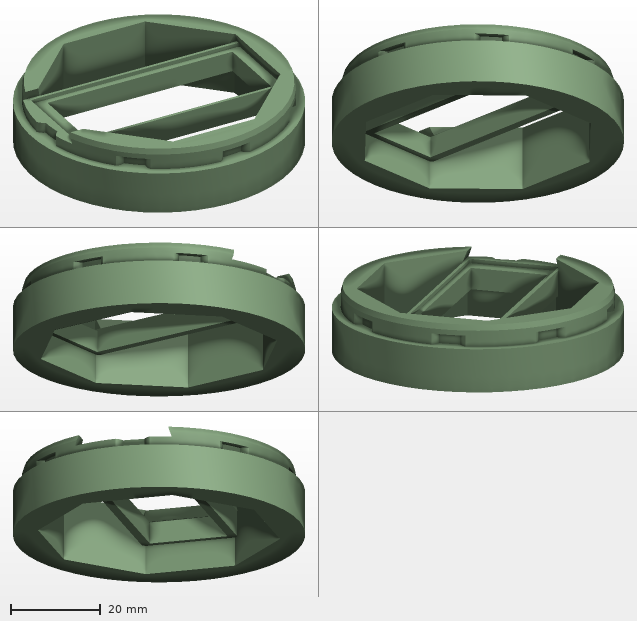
import cadquery as cq
import math

base_diameter = 65.0
base_height = 10.0
total_height = 15.0
collar_radius = 30.5
collar_top_radius = 30.1
collar_bevel_height = 1.3

octagon_across_flats = 50.0
octagon_diameter = octagon_across_flats / math.cos(math.pi / 8)

slide_depth = 2.5
slide_floor = total_height - slide_depth
slide_top_half_width = 10.35
slide_floor_half_width = 11.2
slide_top_end_y = 25.15
slide_floor_end_y = slide_top_end_y + slide_floor_half_width - slide_top_half_width

frame_bottom = 6.6
frame_width = 22.1
window_width = 17.95
window_length = 47.05
window_center_y = 0.1

recess_depth = 1.0
recess_corner_radius = 0.5
recess_front_y = -26.9
recess_back_y = 26.2

notch_count = 8
notch_floor_radius = 28.9
notch_center_angle = -85.0
notch_floor_half_angle = 4.8
notch_mouth_half_angle = 7.3
notch_shoulder_radius = 2.5


def polar(radius, degrees):
    angle = math.radians(degrees)
    return (radius * math.cos(angle), radius * math.sin(angle))


def make_body():
    base = cq.Workplane("XY").circle(base_diameter / 2).extrude(base_height)
    collar = (
        cq.Workplane("XZ")
        .moveTo(0, base_height)
        .lineTo(collar_radius, base_height)
        .lineTo(collar_radius, total_height - collar_bevel_height)
        .lineTo(collar_top_radius, total_height)
        .lineTo(0, total_height)
        .close()
        .revolve(360, (0, 0, 0), (0, 1, 0))
    )
    return base.union(collar)


def make_octagon():
    return (
        cq.Workplane("XY")
        .transformed(rotate=(0, 0, 22.5))
        .polygon(8, octagon_diameter)
        .extrude(total_height)
    )


def make_frame():
    return (
        cq.Workplane("XY")
        .workplane(offset=frame_bottom)
        .rect(frame_width, octagon_across_flats)
        .moveTo(0, window_center_y)
        .rect(window_width, window_length)
        .extrude(slide_floor - frame_bottom)
        .intersect(make_octagon())
    )


def slide_section(half_width, end_y, height):
    """Rectangle from the closed end of the slideway to beyond the -Y side of the body."""
    front_y = -base_diameter / 2
    return (
        cq.Sketch()
        .rect(2 * half_width, end_y - front_y)
        .moved(cq.Location(cq.Vector(0, (end_y + front_y) / 2, height)))
    )


def make_slideway():
    """Both sides and the closed end lean outward toward the floor."""
    floor = slide_section(slide_floor_half_width, slide_floor_end_y, slide_floor)
    top = slide_section(slide_top_half_width, slide_top_end_y, total_height)
    return cq.Workplane("XY").placeSketch(floor, top).loft()


def make_recess():
    recess_length = recess_back_y - recess_front_y
    return (
        cq.Workplane("XY", origin=(0, (recess_back_y + recess_front_y) / 2, slide_floor - recess_depth))
        .rect(2 * slide_top_half_width, recess_length)
        .extrude(recess_depth)
        .edges("|Z")
        .fillet(recess_corner_radius)
    )


def make_notch(center_angle):
    """Notch with a concentric floor, rounded shoulders, and a mouth past the collar wall."""
    floor_start = center_angle - notch_floor_half_angle
    floor_end = center_angle + notch_floor_half_angle
    mouth_start = center_angle - notch_mouth_half_angle
    mouth_end = center_angle + notch_mouth_half_angle
    return (
        cq.Workplane("XY", origin=(0, 0, base_height))
        .moveTo(*polar(notch_floor_radius, floor_start))
        .threePointArc(polar(notch_floor_radius, center_angle), polar(notch_floor_radius, floor_end))
        .radiusArc(polar(collar_radius, mouth_end), -notch_shoulder_radius)
        .lineTo(*polar(base_diameter / 2, mouth_end))
        .threePointArc(polar(base_diameter / 2, center_angle), polar(base_diameter / 2, mouth_start))
        .lineTo(*polar(collar_radius, mouth_start))
        .radiusArc(polar(notch_floor_radius, floor_start), -notch_shoulder_radius)
        .close()
        .extrude(slide_floor - base_height)
    )


result = make_body().cut(make_octagon()).union(make_frame())
result = result.cut(make_slideway()).cut(make_recess())
for index in range(notch_count):
    result = result.cut(make_notch(notch_center_angle + index * 360 / notch_count))